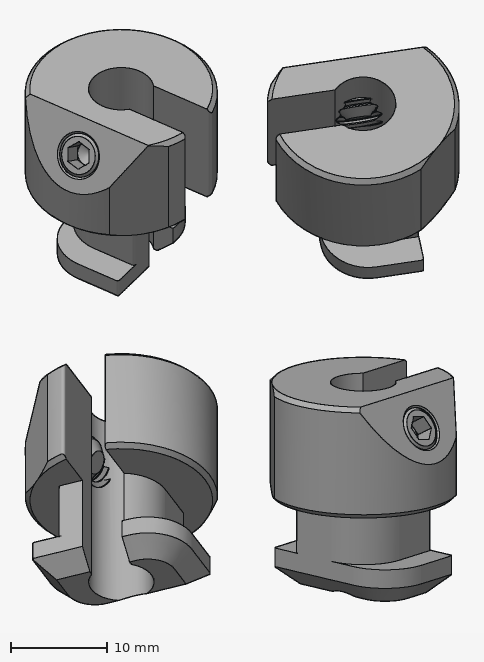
import cadquery as cq
import math


head_diameter = 20.0
head_radius = head_diameter / 2
head_height = 12.0
head_chamfer = 0.5
flat_distance = 9.5
flat_turn = 45.0
shank_width = 10.0
foot_length = 16.0
foot_height = 2.0
foot_taper_height = 1.96
foot_taper_angle = 45.0
total_height = 22.3
oversize = 2 * head_diameter
shank_height = total_height - head_height - foot_height - foot_taper_height
lobe_radius = shank_width / 2
edge_radius = 0.3

bore_diameter = 6.8
slot_width = 4.5

slope_angle = 60.0
slope_start = 6.0

screw_diameter = 5.0
screw_length = 6.02
screw_tip_diameter = 2.5
thread_root_diameter = 4.0
thread_depth = (screw_diameter - thread_root_diameter) / 2
thread_pitch = 0.8
thread_crest_width = 0.1
thread_flank_angle = 30.0
thread_ridges = 11
first_ridge_depth = 0.35
countersink_angle = 45.0
socket_sides = 6
socket_across_flats = 2.5
socket_depth = 2.1
socket_turn = 47.0
socket_cone_angle = 120.0

slope_run = head_radius - slope_start
slope_drop = slope_run * math.tan(math.radians(slope_angle))
slope_plane = cq.Plane(
    origin=(0, -slope_start - slope_run / 2, head_height - slope_drop / 2),
    xDir=(1, 0, 0),
    normal=(0, -math.sin(math.radians(slope_angle)), math.cos(math.radians(slope_angle))),
)


def make_head():
    """Chamfered disc with two diagonal flats and the sloped screw seat."""
    head = cq.Workplane("XY").circle(head_radius).extrude(head_height)
    head = head.edges().chamfer(head_chamfer)
    between_flats = (
        cq.Workplane("XY")
        .rect(oversize, 2 * flat_distance)
        .extrude(head_height)
        .rotate((0, 0, 0), (0, 0, 1), flat_turn)
    )
    above_slope = cq.Workplane(slope_plane).rect(oversize, oversize).extrude(oversize)
    return head.intersect(between_flats).cut(above_slope)


def lobed_outline(length, bottom):
    """Rectangle centred on the axis, with large roundings at its (-X, -Y) and (+X, +Y) corners."""
    half_x = shank_width / 2
    half_y = length / 2
    return (
        cq.Workplane("XY", origin=(0, 0, bottom))
        .moveTo(0, -half_y)
        .lineTo(half_x, -half_y)
        .lineTo(half_x, half_y - lobe_radius)
        .radiusArc((0, half_y), -lobe_radius)
        .lineTo(-half_x, half_y)
        .lineTo(-half_x, lobe_radius - half_y)
        .radiusArc((0, -half_y), -lobe_radius)
        .close()
    )


def round_square_corners(prism, length):
    """Round the upright edges at the (+X, -Y) and (-X, +Y) corners."""
    middle_z = prism.val().Center().z
    for side in (1, -1):
        corner_point = (side * shank_width / 2, -side * length / 2, middle_z)
        corner_edge = prism.edges("|Z").edges(cq.selectors.NearestToPointSelector(corner_point))
        prism = corner_edge.fillet(edge_radius)
    return prism


def make_shank():
    """Neck between the head and the foot."""
    shank = lobed_outline(shank_width, -shank_height).extrude(shank_height)
    return round_square_corners(shank, shank_width)


def make_foot():
    """T-head plate with a taper all round its underside."""
    height = foot_height + foot_taper_height
    plate = lobed_outline(foot_length, -shank_height - height).extrude(height)
    plate = round_square_corners(plate, foot_length)
    taper_top = -shank_height - foot_height
    slab = lobed_outline(foot_length, taper_top).extrude(foot_height)
    taper = lobed_outline(foot_length, taper_top).extrude(-foot_taper_height, taper=foot_taper_angle)
    return plate.intersect(slab.union(taper))


def make_passage():
    """Round bore with a slot that opens it towards +X."""
    bottom = head_height - total_height
    bore = cq.Workplane("XY", origin=(0, 0, bottom)).circle(bore_diameter / 2).extrude(total_height)
    slot = (
        cq.Workplane("XY", origin=(head_radius / 2, 0, bottom))
        .rect(head_radius, slot_width)
        .extrude(total_height)
    )
    return bore.union(slot)


def round_slot_mouth(holder):
    """Round the head's upright edges where the slot breaks out of its wall."""
    mouth_x = math.sqrt(head_radius**2 - (slot_width / 2) ** 2)
    for side in (1, -1):
        edge_point = (mouth_x, side * slot_width / 2, head_height / 2)
        mouth_edge = holder.edges("|Z").edges(cq.selectors.NearestToPointSelector(edge_point))
        holder = mouth_edge.fillet(edge_radius)
    return holder


def make_threaded_rod():
    """Rod along Z with thread ridges as rings, running past both ends of the set screw."""
    root = thread_root_diameter / 2
    crest = screw_diameter / 2
    half_crest = thread_crest_width / 2
    half_base = half_crest + thread_depth * math.tan(math.radians(thread_flank_angle))
    top_ridge = thread_pitch - first_ridge_depth
    ridges = [top_ridge - ridge * thread_pitch for ridge in range(thread_ridges)]

    profile = [(0, top_ridge + half_base)]
    for ridge in ridges:
        profile += [
            (root, ridge + half_base),
            (crest, ridge + half_crest),
            (crest, ridge - half_crest),
            (root, ridge - half_base),
        ]
    profile.append((0, ridges[-1] - half_base))
    return cq.Workplane("XZ").polyline(profile).close().revolve(360, (0, 0, 0), (0, 1, 0))


def set_into_slope(body):
    """Move a body built along Z so that Z = 0 lands on the slope."""
    return cq.Workplane(obj=body.val().moved(cq.Location(slope_plane)))


def make_screw_hole():
    """Threaded hole from the slope into the bore, countersunk to the thread's outer diameter."""
    mouth = cq.Workplane("XY").circle(screw_diameter / 2)
    countersink = mouth.extrude(-thread_depth, taper=countersink_angle)
    return set_into_slope(make_threaded_rod().union(countersink))


def make_holder():
    """Head, shank and foot in one piece, with the bore, slot and screw hole cut out."""
    holder = make_head().union(make_shank()).union(make_foot()).cut(make_passage())
    return round_slot_mouth(holder).cut(make_screw_hole())


def make_set_screw():
    """Screw built along Z with its socket end at Z = 0, then set into the slope."""
    tip_chamfer = (screw_diameter - screw_tip_diameter) / 2
    blank = cq.Workplane("XY").circle(screw_diameter / 2).extrude(-screw_length)
    blank = blank.faces(">Z").chamfer(thread_depth).faces("<Z").chamfer(tip_chamfer)
    screw = blank.intersect(make_threaded_rod())

    socket_corner_diameter = socket_across_flats / math.cos(math.pi / socket_sides)
    socket = (
        cq.Workplane("XY")
        .transformed(rotate=(0, 0, socket_turn))
        .polygon(socket_sides, socket_corner_diameter)
        .extrude(-socket_depth)
    )
    cone_radius = socket_across_flats / 2
    cone_depth = cone_radius / math.tan(math.radians(socket_cone_angle / 2))
    socket_bottom = cq.Solid.makeCone(
        cone_radius, 0, cone_depth, pnt=(0, 0, -socket_depth), dir=(0, 0, -1)
    )
    screw = screw.cut(socket).cut(cq.Workplane(obj=socket_bottom))
    return set_into_slope(screw)


holder = make_holder()
set_screw = make_set_screw()
result = cq.Compound.makeCompound([holder.solids().val(), set_screw.solids().val()])